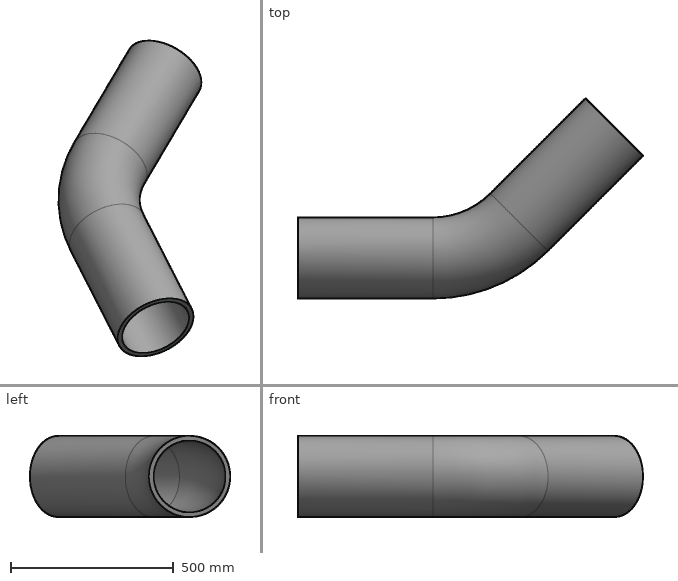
import cadquery as cq
import math

overall_length = 1061.0
outer_diameter = 250.0
inner_diameter = 221.0
bend_angle = 45.0
bend_radius = 1.5 * outer_diameter

angle = math.radians(bend_angle)
outer_radius = outer_diameter / 2
bend_span = (bend_radius + outer_radius) * math.sin(angle)
leg_length = (overall_length - bend_span) / (1 + math.cos(angle))

bend_start = (leg_length, 0)
bend_middle = (
    leg_length + bend_radius * math.sin(angle / 2),
    bend_radius * (1 - math.cos(angle / 2)),
)
bend_end = (
    leg_length + bend_radius * math.sin(angle),
    bend_radius * (1 - math.cos(angle)),
)
pipe_end = (
    bend_end[0] + leg_length * math.cos(angle),
    bend_end[1] + leg_length * math.sin(angle),
)

centreline = (
    cq.Workplane("XY")
    .lineTo(*bend_start)
    .threePointArc(bend_middle, bend_end)
    .lineTo(*pipe_end)
)

result = (
    cq.Workplane("YZ")
    .circle(outer_radius)
    .circle(inner_diameter / 2)
    .sweep(centreline)
)